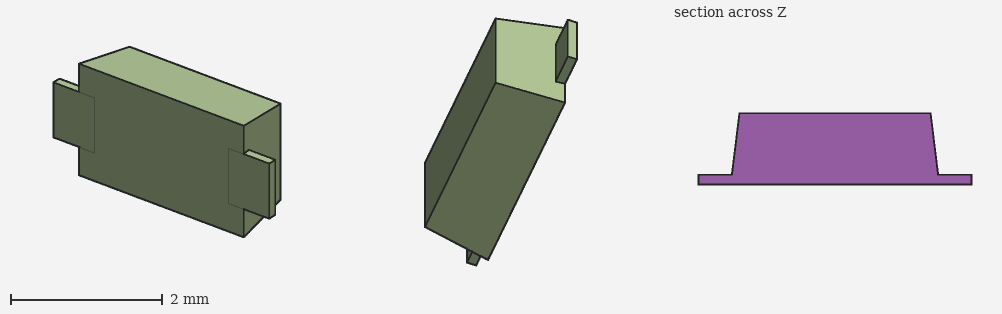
import cadquery as cq
import math

overall_length = 3.6
body_depth = 0.94
body_height = 1.68

body_length = 2.75
draft_angle = 7.0

lead_length = 0.68
lead_height = 0.83
lead_thickness = 0.13


def make_body():
    """Block with drafted sides, narrowing from the mounting face at Y = 0 towards +Y."""
    inset = body_depth * math.tan(math.radians(draft_angle))
    return (
        cq.Workplane("XZ")
        .rect(body_length, body_height)
        .workplane(offset=-body_depth)
        .rect(body_length - 2 * inset, body_height - 2 * inset)
        .loft(ruled=True)
    )


def make_lead(side):
    """Flat lead at the -X end (side = -1) or the +X end (side = 1)."""
    center_x = side * (overall_length - lead_length) / 2
    return (
        cq.Workplane("XY")
        .box(lead_length, lead_thickness, lead_height)
        .translate((center_x, lead_thickness / 2, 0))
    )


leads = [make_lead(side) for side in (-1, 1)]
result = make_body()

for lead in leads:
    result = result.cut(lead, clean=False).union(lead, clean=False)